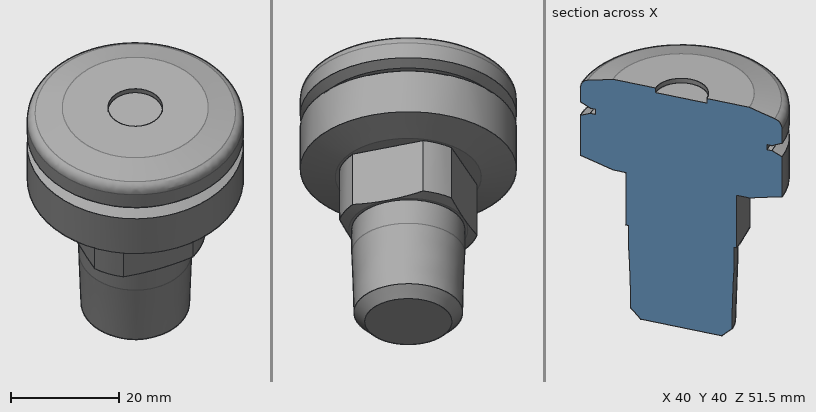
import cadquery as cq
import math

total_height = 51.5
head_height = 20.0
square_height = 11.5
collar_height = 5.1

head_radius = 20.0
face_radius = 13.5
rim_fillet = 2.0
cone_slope = math.tan(math.radians(15))

groove_radius = 17.0
groove_lip_radius = 18.0
groove_top_depth = 7.5
groove_width = 1.0
upper_lip_height = 1.0
lower_lip_height = 0.9

recess_diameter = 10.1
recess_depth = 1.0

square_width = 22.0
square_corner_diameter = 26.0

stem_radius = 20.93 / 2
taper_ratio = 1 / 16
tip_chamfer = 2.0

head_bottom = total_height - head_height
square_bottom = head_bottom - square_height
taper_top = square_bottom - collar_height
groove_top = total_height - groove_top_depth
groove_bottom = groove_top - groove_width


def revolve_profile(points):
    """Revolve a closed (radius, height) profile about the Z axis."""
    return cq.Workplane("XZ").polyline(points).close().revolve(360, (0, 0), (0, 1))


def make_head():
    cone_height = (head_radius - face_radius) * cone_slope
    rim_level = total_height - cone_height
    blank = revolve_profile([
        (0, head_bottom),
        (face_radius, head_bottom),
        (head_radius, head_bottom + cone_height),
        (head_radius, rim_level),
        (face_radius, total_height),
        (0, total_height),
    ])
    rims = blank.edges("%CIRCLE").filter(lambda edge: edge.radius() > face_radius)
    upper_rim = rims.filter(lambda edge: edge.Center().z > head_bottom + head_height / 2)
    return upper_rim.fillet(rim_fillet)


def make_groove():
    return revolve_profile([
        (groove_radius, groove_bottom),
        (groove_lip_radius, groove_bottom),
        (head_radius, groove_bottom - lower_lip_height),
        (head_radius, groove_top + upper_lip_height),
        (groove_lip_radius, groove_top),
        (groove_radius, groove_top),
    ])


def make_recess():
    return (
        cq.Workplane("XY", origin=(0, 0, total_height - recess_depth))
        .circle(recess_diameter / 2)
        .extrude(recess_depth)
    )


def make_wrench_square():
    """Square bar whose corners are rounded and bevelled by a turned envelope."""
    flat_radius = square_width / 2
    corner_radius = square_corner_diameter / 2
    bevel_height = (corner_radius - flat_radius) * cone_slope
    bar = (
        cq.Workplane("XY", origin=(0, 0, square_bottom))
        .rect(square_width, square_width)
        .extrude(square_height)
    )
    envelope = revolve_profile([
        (0, square_bottom),
        (flat_radius, square_bottom),
        (corner_radius, square_bottom + bevel_height),
        (corner_radius, head_bottom),
        (0, head_bottom),
    ])
    return bar.intersect(envelope)


def make_stem():
    taper_length = taper_top - tip_chamfer
    taper_end_radius = stem_radius - taper_length * taper_ratio / 2
    return revolve_profile([
        (0, 0),
        (taper_end_radius - tip_chamfer, 0),
        (taper_end_radius, tip_chamfer),
        (stem_radius, taper_top),
        (stem_radius, square_bottom),
        (0, square_bottom),
    ])


head = make_head().cut(make_groove()).cut(make_recess())
result = head.union(make_wrench_square()).union(make_stem())